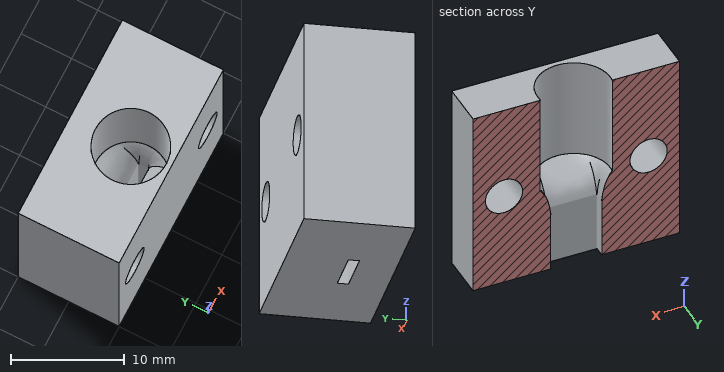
import cadquery as cq
import math

LENGTH = 20.0
WIDTH = 10.0
HEIGHT = 19.0

CROSS_HOLE_DIAMETER = 3.55
CROSS_HOLE_SPACING = 14.0
CROSS_HOLE_HEIGHT = HEIGHT / 2

BORE_RADIUS = 3.5
BORE_FRONT_WALL = 0.5
BORE_DEPTH = 10.0
FUNNEL_DEPTH = 3.0
FUNNEL_END_HALF_WIDTH = 0.7
SLOT_LENGTH = 4.9
SLOT_WIDTH = 1.0
SLOT_CORNER_RADIUS = 0.03

FUNNEL_LEVELS = (0.0, 0.5, 1.0)

bore_y = BORE_FRONT_WALL + BORE_RADIUS
bore_floor = HEIGHT - BORE_DEPTH
slot_top = bore_floor - FUNNEL_DEPTH


def block():
    """Plain block, centred in X, front face on Y = 0, base on Z = 0."""
    return cq.Workplane("XY").box(LENGTH, WIDTH, HEIGHT, centered=(True, False, False))


def cross_holes():
    """Pair of round holes running through the full width along Y."""
    x = CROSS_HOLE_SPACING / 2
    return (
        cq.Workplane("XZ", origin=(0, 0, CROSS_HOLE_HEIGHT))
        .pushPoints([(-x, 0), (x, 0)])
        .circle(CROSS_HOLE_DIAMETER / 2)
        .extrude(-WIDTH)
    )


def slot_quadrant():
    """Slot outline in the +X +Y quadrant: end middle, rounded corner, side middle."""
    half_length = SLOT_LENGTH / 2
    half_width = SLOT_WIDTH / 2
    radius = SLOT_CORNER_RADIUS
    corner_inset = radius * (1 - math.sqrt(0.5))
    return [
        (half_length, 0),
        (half_length, half_width - radius),
        (half_length - corner_inset, half_width - corner_inset),
        (half_length - radius, half_width),
        (0, half_width),
    ]


def bore_quadrant():
    """Points on the bore circle that pair with those of the slot quadrant."""
    end_angle = math.asin(FUNNEL_END_HALF_WIDTH / BORE_RADIUS)
    side_angle = math.acos(SLOT_LENGTH / 2 / BORE_RADIUS)
    angles = [0, end_angle, (end_angle + side_angle) / 2, side_angle, math.pi / 2]
    return [(BORE_RADIUS * math.cos(a), BORE_RADIUS * math.sin(a)) for a in angles]


def funnel_section(level):
    """Closed outline of the funnel at a level from 0 (slot) to 1 (bore)."""
    opening = level**2
    quadrant = [
        (slot_x + (rim_x - slot_x) * opening, slot_y + (rim_y - slot_y) * opening)
        for (slot_x, slot_y), (rim_x, rim_y) in zip(slot_quadrant(), bore_quadrant())
    ]
    upper_left = [(-x, y) for x, y in reversed(quadrant[:-1])]
    upper_half = quadrant + upper_left
    lower_half = [(-x, -y) for x, y in upper_half[1:]]
    points = upper_half[1:] + lower_half + [upper_half[1]]
    z = slot_top + level * FUNNEL_DEPTH
    outline = [cq.Vector(x, bore_y + y, z) for x, y in points]
    edges = []
    for start, middle, end in zip(outline[0:-2:2], outline[1:-1:2], outline[2::2]):
        is_straight = level == 0 and (start.x == end.x or start.y == end.y)
        if is_straight:
            edges.append(cq.Edge.makeLine(start, end))
        else:
            edges.append(cq.Edge.makeThreePointArc(start, middle, end))
    return cq.Wire.assembleEdges(edges)


def passage():
    """Round bore from the top, flared funnel, and narrow outlet slot with rounded corners."""
    sections = [funnel_section(level) for level in FUNNEL_LEVELS]
    funnel = cq.Workplane(obj=cq.Solid.makeLoft(sections))
    bore = (
        cq.Workplane("XY", origin=(0, bore_y, bore_floor))
        .circle(BORE_RADIUS)
        .extrude(BORE_DEPTH)
    )
    slot = (
        cq.Workplane("XY", origin=(0, bore_y, 0))
        .rect(SLOT_LENGTH, SLOT_WIDTH)
        .extrude(slot_top)
        .edges("|Z")
        .fillet(SLOT_CORNER_RADIUS)
    )
    return bore.union(funnel).union(slot)


result = block().cut(cross_holes()).cut(passage())